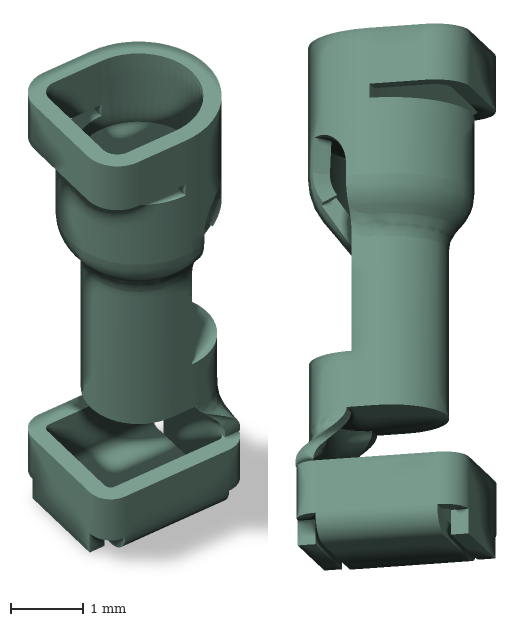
import cadquery as cq
import math

height = 7.2
barrel_width = 2.3
depth = 2.45
wall = 0.25
barrel_radius = barrel_width / 2
bore_radius = barrel_radius - wall
back_y = barrel_radius
front_y = back_y - depth

collar_height = 0.8
collar_corner = 0.5
slot_height = 0.2
bore_floor_z = 5.955
collar_z = height - collar_height
barrel_top_z = collar_z - slot_height

neck_top_z = 5.11
neck_tilt = 40.0
shoulder_radius = 0.6
throat_radius = 0.45
throat_zone_margin = 0.01

pin_radius = 0.8
pin_bottom_z = 1.9
lug_height = 0.8
pin_back_y = back_y - pin_radius

window_top_z = 5.8
window_corner = 0.5
strap_bend_z = 5.32
strap_tilt = 38.0
strap_slant_length = 1.15
strap_bend_radius = 0.9
strap_bend_y = back_y - strap_bend_radius
strap_top_half_angle = 38.4
strap_bend_half_angle = 34.6
strap_slant_half_angle = 30.0
strap_end_half_angle = 21.0

clip_height = 1.1
clip_corner = 0.35
clip_half_width = pin_radius + wall
tail_plate_height = 0.1
tail_lip = 0.07
tail_sections = 6
tail_bottom_z = clip_height + tail_plate_height


def box(x0, x1, y0, y1, z0, z1):
    return cq.Workplane("XY").box(x1 - x0, y1 - y0, z1 - z0, centered=False).translate((x0, y0, z0))


def make_collar():
    """Front of the collar: a U-shaped wall with rounded corners."""

    def block(inset):
        half = barrel_radius - inset
        solid = box(-half, half, front_y + inset, 0, collar_z, height)
        return solid.edges("|Z and <Y").fillet(collar_corner - inset)

    return block(0).cut(block(wall))


def make_body():
    """Solid barrel necked down to the U-section pin, with its bore and open back."""
    tilt = math.radians(neck_tilt)
    cone_radius = barrel_radius - shoulder_radius * (1 - math.cos(tilt))
    cone_z = neck_top_z - shoulder_radius * math.sin(tilt)
    mid_radius = barrel_radius - shoulder_radius * (1 - math.cos(tilt / 2))
    mid_z = neck_top_z - shoulder_radius * math.sin(tilt / 2)
    throat_z = cone_z - (cone_radius - pin_radius) / math.tan(tilt)

    barrel = (
        cq.Workplane("YZ")
        .moveTo(0, height)
        .lineTo(-barrel_radius, height)
        .lineTo(-barrel_radius, neck_top_z)
        .threePointArc((-mid_radius, mid_z), (-cone_radius, cone_z))
        .lineTo(-pin_radius, throat_z)
        .lineTo(0, throat_z)
        .close()
        .revolve(360, (0, 0, 0), (0, 1, 0))
    )
    window = box(-barrel_radius, barrel_radius, pin_back_y, back_y, 0, window_top_z)
    barrel = barrel.cut(window.edges("|X and <Y and >Z").fillet(window_corner))

    pin = (
        cq.Workplane("XY", origin=(0, 0, pin_bottom_z))
        .moveTo(-pin_radius, pin_back_y)
        .lineTo(-pin_radius, 0)
        .threePointArc((0, -pin_radius), (pin_radius, 0))
        .lineTo(pin_radius, pin_back_y)
        .close()
        .extrude(cone_z - pin_bottom_z)
    )
    throat_zone = cq.selectors.BoxSelector(
        (-barrel_radius, -barrel_radius, throat_z - throat_zone_margin),
        (barrel_radius, pin_back_y - throat_zone_margin, cone_z),
    )
    body = barrel.union(pin).edges(throat_zone).fillet(throat_radius)

    bore = (
        cq.Workplane("XY", origin=(0, 0, bore_floor_z))
        .circle(bore_radius)
        .extrude(height - bore_floor_z)
    )
    open_front = box(-barrel_radius, barrel_radius, front_y, 0, barrel_top_z, height)
    return body.cut(bore).cut(open_front)


def make_lug():
    """Rounded lug that closes the back of the pin at its lower end."""
    lug = cq.Workplane("XY", origin=(0, pin_back_y, pin_bottom_z)).circle(pin_radius)
    return lug.extrude(lug_height)


def make_strap():
    """Curved strip of the barrel's back wall that bends inwards to meet the pin."""
    tilt = math.radians(strap_tilt)
    slant = cq.Vector(0, -math.sin(tilt), -math.cos(tilt)) * strap_slant_length
    pivot = cq.Vector(0, strap_bend_y, strap_bend_z)
    pivot_end = pivot + cq.Vector(0.07, 0, 0)

    def sector(half_angle, z=strap_bend_z):
        """Flat ring sector of the barrel wall, facing +Y at height z."""
        angle = math.radians(half_angle)
        across, along = math.sin(angle), math.cos(angle)
        return (
            cq.Workplane("XY", origin=(0, 0, z))
            .moveTo(-bore_radius * across, bore_radius * along)
            .threePointArc((0, bore_radius), (bore_radius * across, bore_radius * along))
            .lineTo(barrel_radius * across, barrel_radius * along)
            .threePointArc((0, barrel_radius), (-barrel_radius * across, barrel_radius * along))
            .close()
        )

    def loft_between(start, end):
        return cq.Workplane(cq.Solid.makeLoft([start, end], True))

    def tilted(section):
        return section.rotate(pivot, pivot_end, -strap_tilt)

    upright = loft_between(
        sector(strap_top_half_angle, window_top_z).val(),
        sector(strap_bend_half_angle).val(),
    )
    bend = sector(strap_bend_half_angle).revolve(
        strap_tilt, (0, strap_bend_y, 0), (-1, strap_bend_y, 0)
    )
    slanted = loft_between(
        tilted(sector(strap_slant_half_angle).val()),
        tilted(sector(strap_end_half_angle).val()).translate(slant),
    )
    return upright.union(bend).union(slanted)


def make_tail():
    """Back wall flattening from the curved lug into a flat plate, then the plate itself."""
    inner_start = pin_radius - wall
    lip_y = pin_back_y + tail_lip
    outer_start = math.sqrt(pin_radius**2 - tail_lip**2)
    wires = []
    for i in range(tail_sections):
        step = i / (tail_sections - 1)
        blend = (1 - math.cos(math.pi * step)) / 2
        z = pin_bottom_z + (tail_bottom_z - pin_bottom_z) * step
        outer_x = outer_start + (pin_radius - outer_start) * blend
        outer_y = lip_y + (back_y - lip_y) * blend
        inner_x = inner_start + (pin_radius - inner_start) * blend
        inner_y = lip_y + (back_y - wall - lip_y) * blend
        section = cq.Workplane("XY", origin=(0, 0, z)).moveTo(-outer_x, outer_y)
        if blend < 1:
            section = section.threePointArc((0, back_y), (outer_x, outer_y))
            section = section.lineTo(inner_x, inner_y)
            section = section.threePointArc((0, back_y - wall), (-inner_x, inner_y))
        else:
            section = section.lineTo(outer_x, outer_y)
            section = section.lineTo(inner_x, inner_y)
            section = section.lineTo(-inner_x, inner_y)
        wires.append(section.close().val())
    transition = cq.Workplane(cq.Solid.makeLoft(wires))
    plate = box(-pin_radius, pin_radius, back_y - wall, back_y, clip_height, tail_bottom_z)
    return transition.union(plate)


def make_clip():
    """Open-topped box whose side walls curl into the floor, with notched lower corners."""
    flat_half_width = clip_half_width - clip_corner
    floor_front_y = front_y + clip_corner
    floor_back_y = back_y - clip_corner

    def full_box(inset, z0):
        half = clip_half_width - inset
        solid = box(-half, half, front_y + inset, back_y - inset, z0, clip_height)
        return solid.edges("|Z").fillet(clip_corner - inset)

    def trough(inset):
        half = clip_half_width - inset
        solid = box(-half, half, floor_front_y, floor_back_y, inset, clip_height)
        return solid.edges("|Y and <Z").fillet(clip_corner - inset)

    frame = full_box(0, clip_corner).cut(full_box(wall, clip_corner))
    curled_sides = trough(0).cut(trough(wall))
    clip = frame.union(curled_sides)
    for tab_y in (front_y, back_y - wall):
        clip = clip.union(
            box(-flat_half_width, flat_half_width, tab_y, tab_y + wall, 0, clip_height)
        )
    return clip


result = (
    make_body()
    .union(make_collar())
    .union(make_lug())
    .union(make_strap())
    .union(make_tail())
    .union(make_clip())
)